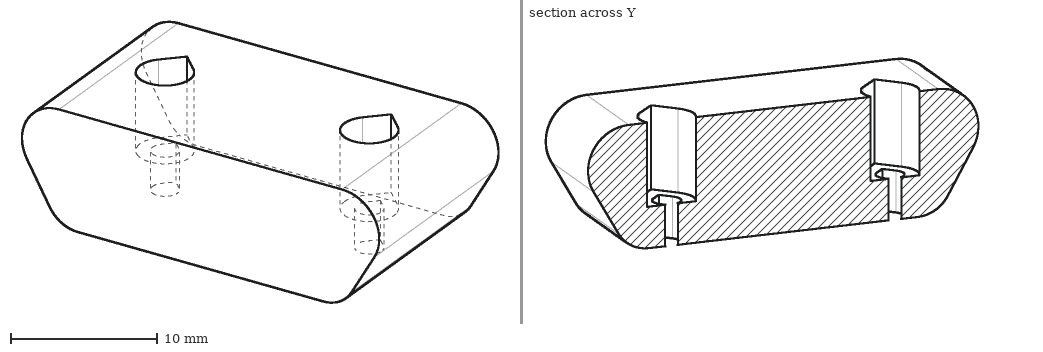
import cadquery as cq
import math

width = 28.83
length = 15.4
height = 9.0
top_radius = 3.0
bottom_radius = 2.6
side_angle = math.radians(60)

hole_spacing = 16.48
hole_y = 0.89
shank_radius = 1.0
head_radius = 2.0
head_depth = 6.0

top_flat_half = width / 2 - top_radius
top_half = top_flat_half + top_radius / math.tan(side_angle / 2)
bottom_half = top_half - height / math.tan(side_angle)


def make_block():
    """Trapezoid prism, wide side up, with its four long edges rounded."""
    prism = (
        cq.Workplane("XZ")
        .polyline([
            (-bottom_half, 0),
            (bottom_half, 0),
            (top_half, height),
            (-top_half, height),
        ])
        .close()
        .extrude(length / 2, both=True)
    )
    rounded_top = prism.edges("|Y and >Z").fillet(top_radius)
    return rounded_top.edges("|Y and <Z").fillet(bottom_radius)


def make_teardrop(radius, x, floor_z):
    """Teardrop column from floor_z to the top face, its 90 degree tip toward +Y."""
    tangent = radius * math.sqrt(0.5)
    tip = radius * math.sqrt(2)
    return (
        cq.Workplane("XY", origin=(x, hole_y, floor_z))
        .moveTo(0, tip)
        .lineTo(-tangent, tangent)
        .threePointArc((0, -radius), (tangent, tangent))
        .close()
        .extrude(height - floor_z)
    )


def cut_screw_holes(body):
    """Through hole with a wider head recess from the top, near each end of the block."""
    for x in (-hole_spacing / 2, hole_spacing / 2):
        body = body.cut(make_teardrop(shank_radius, x, 0))
        body = body.cut(make_teardrop(head_radius, x, height - head_depth))
    return body


result = cut_screw_holes(make_block())